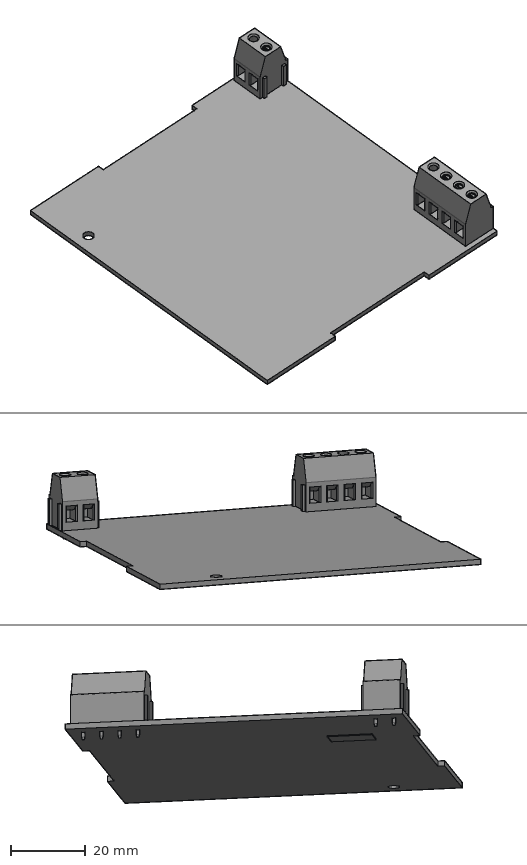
import cadquery as cq

board_length = 92.0
board_width = 85.0
board_thickness = 1.5
notch_depth = 1.8
notch_inset = 25.2
mounting_hole_diameter = 3.0
mounting_hole_from_left = 17.85
mounting_hole_from_front = 4.5

pad_length = 12.2
pad_width = 5.8
pad_thickness = 0.3
pad_from_left = 12.2
pad_from_back = 20.5

left_pole_count = 2
right_pole_count = 4
pole_pitch = 5.0
end_wall = 2.6
block_height = 14.3
shoulder_height = 8.0
block_depth = 9.6
block_top_depth = 5.7
ledge_depth = 0.7
left_block_inset = 0.6
right_block_inset = 1.5

rib_protrusion = 0.6
rib_width = 1.1
rib_height = 7.2
rib_distances_from_back = (1.75, 8.8)

window_width = 3.3
window_bottom = 2.3
window_top = 6.7
window_depth = 4.6
side_bevel = 0.4
ceiling_bevel = 1.5

screw_hole_diameter = 3.0
screw_bore_diameter = 2.2
countersink_depth = 0.5
open_bore_depth = 2.8
screw_head_diameter = 1.9
screw_head_depth = 0.8
slot_length = 1.3
slot_width = 0.4
slot_depth = 0.4

pin_width = 0.9
pin_thickness = 0.5
pin_tip_width = 0.55
pin_tip_thickness = 0.2
pin_tip_length = 0.7
pin_length = 3.4
pin_from_back = 4.8

left = -board_length / 2
right = board_length / 2
front = -board_width / 2
back = board_width / 2
block_back = back - ledge_depth
block_front = block_back - block_depth
block_center = block_back - block_depth / 2
pin_y = back - pin_from_back


def box(x_min, x_max, y_min, y_max, z_min, z_max):
    """Axis-aligned box between the given limits."""
    size = (x_max - x_min, y_max - y_min, z_max - z_min)
    return cq.Workplane().box(*size, centered=False).translate((x_min, y_min, z_min))


def pole_positions(first_pole, count):
    return [first_pole + i * pole_pitch for i in range(count)]


def make_pin(x):
    """Flat pin that hangs from Z = 0 and tapers to its tip."""
    tip_start = pin_tip_length - pin_length
    straight = (
        cq.Workplane(origin=(x, pin_y, 0))
        .rect(pin_width, pin_thickness)
        .extrude(tip_start)
    )
    tip = (
        cq.Workplane(origin=(x, pin_y, tip_start))
        .rect(pin_width, pin_thickness)
        .workplane(offset=-pin_tip_length)
        .rect(pin_tip_width, pin_tip_thickness)
        .loft()
    )
    return straight.union(tip)


def make_window(x):
    """Cutter for a wire window with bevelled sides, a bevelled ceiling and a flat floor."""
    mouth = window_width / 2
    throat = mouth - side_bevel
    end = block_front + window_depth
    opening = (
        cq.Workplane(origin=(x, 0, window_bottom))
        .moveTo(-mouth, block_front)
        .lineTo(mouth, block_front)
        .lineTo(throat, block_front + side_bevel)
        .lineTo(throat, end)
        .lineTo(-throat, end)
        .lineTo(-throat, block_front + side_bevel)
        .close()
        .extrude(window_top - window_bottom)
    )
    ceiling = (
        cq.Workplane("YZ", origin=(x - mouth, 0, 0))
        .moveTo(block_front, window_top)
        .lineTo(end, window_top)
        .lineTo(end, window_top - ceiling_bevel)
        .lineTo(block_front + ceiling_bevel, window_top - ceiling_bevel)
        .close()
        .extrude(window_width)
    )
    return opening.cut(ceiling)


def make_countersink(x):
    return (
        cq.Workplane(origin=(x, block_center, block_height))
        .circle(screw_hole_diameter / 2)
        .workplane(offset=-countersink_depth)
        .circle(screw_bore_diameter / 2)
        .loft()
    )


def make_bore(x, diameter, depth):
    return cq.Workplane(origin=(x, block_center, block_height)).circle(diameter / 2).extrude(-depth)


def make_open_screw_hole(x):
    """Cutter for a countersunk hole with a deep plain bore."""
    return make_countersink(x).union(make_bore(x, screw_bore_diameter, open_bore_depth))


def make_slotted_screw_hole(x):
    """Cutter for a countersunk hole that ends at a slotted screw head."""
    head_top = block_height - screw_head_depth
    slot = box(
        x - slot_length / 2, x + slot_length / 2,
        block_center - slot_width / 2, block_center + slot_width / 2,
        head_top - slot_depth, head_top,
    )
    return make_countersink(x).union(make_bore(x, screw_head_diameter, screw_head_depth)).union(slot)


def add_ribs(block, x_min):
    """Add the upright ribs whose left side is at x_min."""
    for distance in rib_distances_from_back:
        y = back - distance
        rib = box(x_min, x_min + rib_protrusion, y - rib_width / 2, y + rib_width / 2, 0, rib_height)
        block = block.union(rib)
    return block


def make_block_body(start, end):
    """Tapered block with a narrow ledge along its back."""
    half_top = block_top_depth / 2
    return (
        cq.Workplane("YZ", origin=(start, 0, 0))
        .moveTo(block_front, 0)
        .lineTo(back, 0)
        .lineTo(back, shoulder_height)
        .lineTo(block_back, shoulder_height)
        .lineTo(block_center + half_top, block_height)
        .lineTo(block_center - half_top, block_height)
        .lineTo(block_front, shoulder_height)
        .close()
        .extrude(end - start)
    )


def make_terminal_block(poles, ribs_on_right):
    """Terminal block with its pins; the leftmost screw hole is open, the others are slotted."""
    start = poles[0] - end_wall
    end = poles[-1] + end_wall
    block = add_ribs(make_block_body(start, end), start - rib_protrusion)
    if ribs_on_right:
        block = add_ribs(block, end)
    block = block.cut(make_open_screw_hole(poles[0]))
    for x in poles[1:]:
        block = block.cut(make_slotted_screw_hole(x))
    for x in poles:
        block = block.cut(make_window(x)).union(make_pin(x))
    return block


def make_board(pin_positions):
    """Board with side notches, a mounting hole, an underside pad and fitted pin holes."""
    board = box(left, right, front, back, -board_thickness, 0)
    for edge in (left, right):
        notch = box(
            edge - notch_depth, edge + notch_depth,
            front + notch_inset, back - notch_inset,
            -board_thickness, 0,
        )
        board = board.cut(notch)

    mounting_hole = (
        cq.Workplane(origin=(left + mounting_hole_from_left, front + mounting_hole_from_front, 0))
        .circle(mounting_hole_diameter / 2)
        .extrude(-board_thickness)
    )
    board = board.cut(mounting_hole)

    pad_left = left + pad_from_left
    pad_back = back - pad_from_back
    pad = box(
        pad_left, pad_left + pad_length,
        pad_back - pad_width, pad_back,
        -board_thickness - pad_thickness, -board_thickness,
    )
    board = board.union(pad)

    for x in pin_positions:
        board = board.cut(make_pin(x))
    return board


left_poles = pole_positions(left + left_block_inset + end_wall, left_pole_count)
right_span = (right_pole_count - 1) * pole_pitch
right_poles = pole_positions(right - right_block_inset - end_wall - right_span, right_pole_count)

left_terminal = make_terminal_block(left_poles, ribs_on_right=True)
right_terminal = make_terminal_block(right_poles, ribs_on_right=False)
board = make_board(left_poles + right_poles)

result = cq.Compound.makeCompound([board.val(), left_terminal.val(), right_terminal.val()])